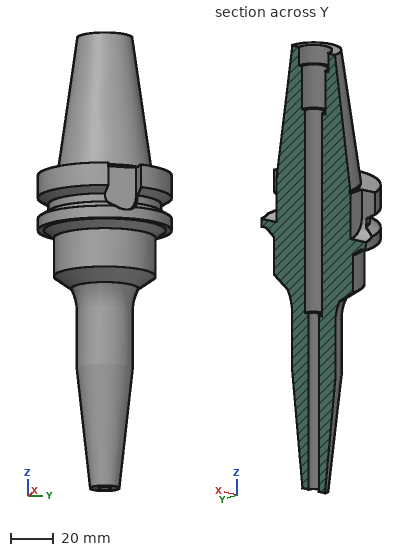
import cadquery as cq
import math

total_length = 215.5
cone_base_z = 150.5
flange_top_z = 149.5
groove_top_z = 138.7
groove_floor_top_z = 135.7
groove_floor_bottom_z = 131.8
groove_bottom_z = 128.8
flange_bottom_z = 123.2
collar_top_z = 119.5
collar_bottom_z = 101.2
neck_top_z = 95.5
shank_top_z = 84.5
shank_bottom_z = 56.9

cone_tip_radius = 13.0
cone_base_radius = 22.2
relief_radius = 21.8
flange_radius = 31.5
groove_radius = 26.5
flange_chamfer_radius = 28.6
collar_radius = 24.0
neck_radius = 15.7
shank_radius = 13.1
nose_radius = 7.0

slot_width = 16.2
slot_floor_x = 22.5
slot_bottom_z = 127.3

pilot_radius = 8.6
pilot_depth = 9.0
thread_radius = 7.0
thread_depth = 30.2
relief_bore_radius = 5.0
relief_bore_depth = 129.2
tool_bore_radius = 3.0
bore_steps = [
    (pilot_radius, pilot_depth),
    (thread_radius, thread_depth),
    (relief_bore_radius, relief_bore_depth),
    (tool_bore_radius, total_length),
]


def turned_body():
    neck_flare = neck_radius - shank_radius
    neck_height = neck_top_z - shank_top_z
    fillet_radius = (neck_flare**2 + neck_height**2) / (2 * neck_flare)
    half_angle = math.asin(neck_height / fillet_radius) / 2
    neck_middle = (
        shank_radius + fillet_radius * (1 - math.cos(half_angle)),
        shank_top_z + fillet_radius * math.sin(half_angle),
    )
    return (
        cq.Workplane("XZ")
        .moveTo(0, 0)
        .lineTo(nose_radius, 0)
        .lineTo(shank_radius, shank_bottom_z)
        .lineTo(shank_radius, shank_top_z)
        .threePointArc(neck_middle, (neck_radius, neck_top_z))
        .lineTo(collar_radius, collar_bottom_z)
        .lineTo(collar_radius, collar_top_z)
        .lineTo(flange_chamfer_radius, flange_bottom_z)
        .lineTo(flange_radius, flange_bottom_z)
        .lineTo(flange_radius, groove_bottom_z)
        .lineTo(groove_radius, groove_floor_bottom_z)
        .lineTo(groove_radius, groove_floor_top_z)
        .lineTo(flange_radius, groove_top_z)
        .lineTo(flange_radius, flange_top_z)
        .lineTo(relief_radius, flange_top_z)
        .lineTo(relief_radius, cone_base_z)
        .lineTo(cone_base_radius, cone_base_z)
        .lineTo(cone_tip_radius, total_length)
        .lineTo(0, total_length)
        .close()
        .revolve(360, (0, 0, 0), (0, 1, 0))
    )


def drive_slot(side):
    half_width = slot_width / 2
    arc_center_z = slot_bottom_z + half_width
    return (
        cq.Workplane("YZ", origin=(side * slot_floor_x, 0, 0))
        .moveTo(-half_width, flange_top_z)
        .lineTo(-half_width, arc_center_z)
        .threePointArc((0, slot_bottom_z), (half_width, arc_center_z))
        .lineTo(half_width, flange_top_z)
        .close()
        .extrude(side * flange_radius)
    )


def bore_step(radius, depth):
    return cq.Workplane("XY").workplane(offset=total_length - depth).circle(radius).extrude(depth)


result = turned_body()
for side in (-1, 1):
    result = result.cut(drive_slot(side))
for radius, depth in bore_steps:
    result = result.cut(bore_step(radius, depth))